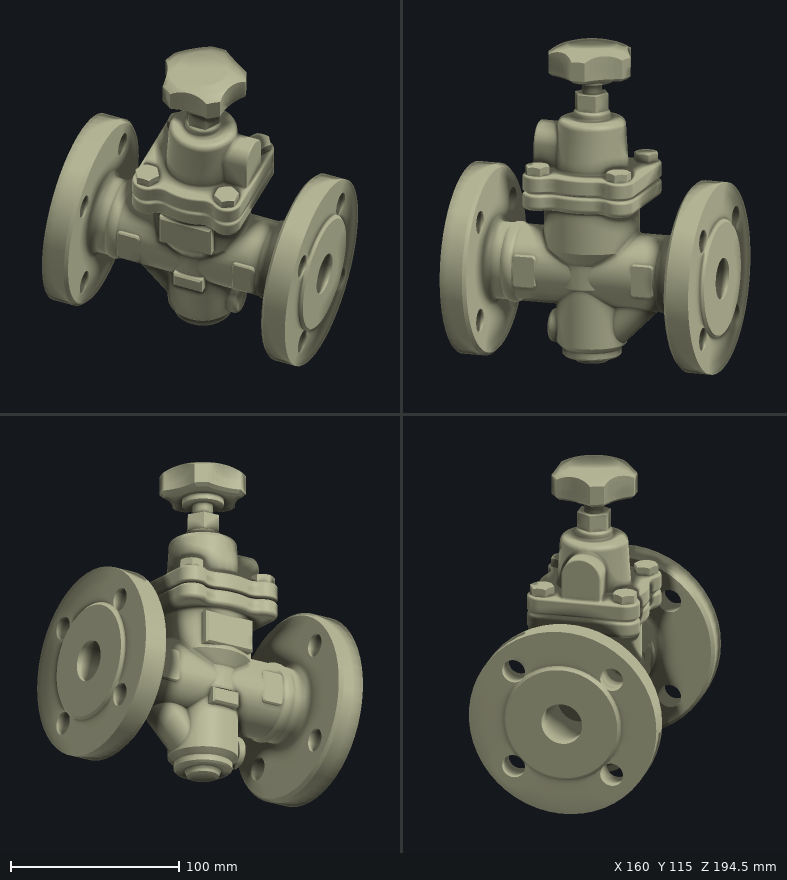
import cadquery as cq
import math

FACE_TO_FACE = 160.0
STEM_X = 2.0

FLANGE_DIA = 115.0
FLANGE_THICK = 16.0
FLANGE_CHAMFER = 2.0
RAISED_HEIGHT = 2.0
RAISED_FACE_DIA = 68.0
RAISED_BASE_DIA = 72.0
BOLT_CIRCLE = 85.0
BOLT_HOLE_DIA = 14.0
BORE_DIA = 25.0
BORE_DEPTH = 40.0

PIPE_DIA = 46.0
HUB_FILLET = 4.0
BEAD_HEIGHT = 1.2
BEAD_X = 48.4
BEAD_WIDTH = 7.2

PIPE_PAD_X = 37.0
PIPE_PAD_WIDTH = 14.5
PIPE_PAD_HEIGHT = 20.0
PIPE_PAD_CORNER = 2.5
PIPE_PAD_EDGE = 0.8

NECK_DIA = 57.0
NECK_BOTTOM_Z = 15.0
WAIST_DIA = 47.2
WAIST_TOP_Z = 6.5
WAIST_BOTTOM_Z = -8.0
LOWER_DIA = 42.0
LOWER_TOP_Z = -9.3
LOWER_BOTTOM_Z = -45.0
LOWER_CHAMFER = 3.5
BODY_FILLET = 2.0
BARREL_FILLET = 1.0
NECK_FILLET = 1.5

PLUG_DIA = 35.0
PLUG_BOTTOM_Z = -53.3
PLUG_CHAMFER = 1.2
PLUG_TIP_TOP_DIA = 22.0
PLUG_TIP_DIA = 19.2
PLUG_TIP_EDGE = (10.0, -55.0)
PLUG_TIP_Z = -56.5

NAME_PAD_WIDTH = 33.2
NAME_PAD_TOP_Z = 37.0
NAME_PAD_BOTTOM_Z = 17.0
NAME_PAD_Y = 29.1
NAME_PAD_EDGE = 1.2
LOWER_PAD_WIDTH = 18.5
LOWER_PAD_TOP_Z = -8.8
LOWER_PAD_BOTTOM_Z = -18.2
LOWER_PAD_Y = 25.3
LOWER_PAD_EDGE = 1.2

PASSAGE_RADIUS = 12.0
PASSAGE_START = (-33.3, -12.8)
PASSAGE_LENGTH = 36.0
PASSAGE_SLOPE = 45.0
DRAIN_DIA = 20.0
DRAIN_Z = -37.0
DRAIN_END_X = 27.2
DRAIN_FILLET = 2.5

COVER_BOLT_CIRCLE = 72.0
COVER_CORNER_RADIUS = 9.0
COVER_BULGE_RADIUS = 33.0
COVER_BLEND_RADIUS = 10.0
LOWER_PLATE_BOTTOM_Z = 40.5
LOWER_PLATE_TOP_Z = 50.7
UPPER_PLATE_BOTTOM_Z = 51.7
UPPER_PLATE_TOP_Z = 61.7
UPPER_PLATE_TOP_FILLET = 1.5
UPPER_PLATE_BOTTOM_FILLET = 1.2
LOWER_PLATE_TOP_FILLET = 2.0
LOWER_PLATE_BOTTOM_FILLET = 3.0
GASKET_DIA = 58.0

BOLT_FLATS = 13.0
BOLT_HEAD_HEIGHT = 5.3
BOLT_HEAD_CHAMFER_RISE = 0.5

BONNET_BASE_DIA = 44.2
BONNET_TOP_DIA = 40.2
BONNET_TOP_Z = 92.2
BONNET_TOP_FILLET = 4.0
BONNET_BASE_FILLET = 1.6
PORT_RADIUS = 12.0
PORT_Z = 76.0
PORT_END_X = 34.7
PORT_EDGE_FILLET = 1.0
PORT_BLEND_FILLET = 1.5

COLLAR_DIA = 22.0
COLLAR_BASE_FILLET = 1.6
COLLAR_TOP_Z = 97.4
COLLAR_TOP_FILLET = 2.0
NUT_FLATS = 18.2
NUT_TOP_Z = 107.5
STEM_DIA = 12.0
KNOB_HUB_DIA = 25.0
KNOB_HUB_BOTTOM_Z = 115.0

KNOB_LOBES = 5
KNOB_RADIUS = 26.0
KNOB_LOBE_HALF_ANGLE = 9.3
KNOB_VALLEY_RADIUS = 21.2
KNOB_BOTTOM_Z = 118.6
KNOB_CHAMFER = 1.9
KNOB_SHOULDER_Z = 131.9
KNOB_DOME_MID = (21.0, 135.0)
KNOB_TOP_RADIUS = 15.0
KNOB_TOP_Z = 137.0


ARC_MID = 1 - math.cos(math.radians(45))
HEX_HALF_ANGLE = 30


def stem_plane(z):
    """Horizontal workplane at height z, centred on the stem axis."""
    return cq.Workplane("XY", origin=(STEM_X, 0, z))


def disc(diameter, bottom_z, top_z):
    """Cylinder on the stem axis."""
    return stem_plane(bottom_z).circle(diameter / 2).extrude(top_z - bottom_z)


def stem_profile():
    """Workplane for a half profile (radius, z) that is revolved about the stem axis."""
    return cq.Workplane("XZ", origin=(STEM_X, 0, 0))


def spin_about_stem(profile):
    return profile.close().revolve(360, (0, 0, 0), (0, 1, 0))


def polar(radius, degrees):
    angle = math.radians(degrees)
    return (radius * math.cos(angle), radius * math.sin(angle))


def hexagon(flats, height, turn):
    """Hexagonal prism on Z from the origin; at turn 0 two corners lie on the X axis."""
    corners = flats / math.cos(math.radians(HEX_HALF_ANGLE))
    prism = cq.Workplane("XY").polygon(6, corners).extrude(height)
    return prism.rotate((0, 0, 0), (0, 0, 1), turn)


def make_half_pipe():
    """Half of the pipe run on the -X side, turned about the X axis."""
    end_x = -FACE_TO_FACE / 2
    front_x = end_x + RAISED_HEIGHT
    back_x = front_x + FLANGE_THICK
    flange_r = FLANGE_DIA / 2
    pipe_r = PIPE_DIA / 2
    hub_r = pipe_r + HUB_FILLET
    hub_mid = HUB_FILLET * ARC_MID
    half = (
        cq.Workplane("XY")
        .moveTo(end_x, 0)
        .lineTo(end_x, RAISED_FACE_DIA / 2)
        .lineTo(front_x, RAISED_BASE_DIA / 2)
        .lineTo(front_x, flange_r)
        .lineTo(back_x - FLANGE_CHAMFER, flange_r)
        .lineTo(back_x, flange_r - FLANGE_CHAMFER)
        .lineTo(back_x, hub_r)
        .threePointArc((back_x + hub_mid, pipe_r + hub_mid), (back_x + HUB_FILLET, pipe_r))
        .lineTo(-BEAD_X - BEAD_WIDTH / 2, pipe_r)
        .threePointArc((-BEAD_X, pipe_r + BEAD_HEIGHT), (-BEAD_X + BEAD_WIDTH / 2, pipe_r))
        .lineTo(0, pipe_r)
        .lineTo(0, 0)
        .close()
        .revolve(360, (0, 0, 0), (1, 0, 0))
    )
    return half


def make_pipe():
    half = make_half_pipe()
    return half.union(half.mirror("YZ"))


def make_pipe_pads():
    """Flat rectangular pads level with the front and back of the pipe."""
    pad = (
        cq.Workplane("XY")
        .box(PIPE_PAD_WIDTH, PIPE_DIA, PIPE_PAD_HEIGHT)
        .edges("|Y").fillet(PIPE_PAD_CORNER)
        .faces("<Y or >Y").chamfer(PIPE_PAD_EDGE)
    )
    return pad.translate((-PIPE_PAD_X, 0, 0)).union(pad.translate((PIPE_PAD_X, 0, 0)))


def make_flange_holes():
    spacing = BOLT_CIRCLE / math.sqrt(2)
    return (
        cq.Workplane("YZ", origin=(-FACE_TO_FACE / 2, 0, 0))
        .rect(spacing, spacing, forConstruction=True)
        .vertices()
        .circle(BOLT_HOLE_DIA / 2)
        .extrude(RAISED_HEIGHT + FLANGE_THICK)
    )


def make_bore():
    return cq.Workplane("YZ", origin=(-FACE_TO_FACE / 2, 0, 0)).circle(BORE_DIA / 2).extrude(BORE_DEPTH)


def make_body():
    """Neck, cone, waist and lower barrel."""
    lower_r = LOWER_DIA / 2
    profile = (
        stem_profile()
        .moveTo(0, LOWER_PLATE_BOTTOM_Z)
        .lineTo(NECK_DIA / 2, LOWER_PLATE_BOTTOM_Z)
        .lineTo(NECK_DIA / 2, NECK_BOTTOM_Z)
        .lineTo(WAIST_DIA / 2, WAIST_TOP_Z)
        .lineTo(WAIST_DIA / 2, WAIST_BOTTOM_Z)
        .lineTo(lower_r, LOWER_TOP_Z)
        .lineTo(lower_r, LOWER_BOTTOM_Z)
        .lineTo(PLUG_DIA / 2, LOWER_BOTTOM_Z - LOWER_CHAMFER)
        .lineTo(0, LOWER_BOTTOM_Z - LOWER_CHAMFER)
    )
    return spin_about_stem(profile)


def make_core():
    """Pipe and valve body with their seams rounded."""
    core = make_pipe().union(make_body())
    reach = NECK_DIA
    margin = 0.05
    upper_seam = cq.selectors.BoxSelector(
        (-reach, -reach, WAIST_TOP_Z - margin), (reach, reach, PIPE_DIA), boundingbox=True
    )
    core = core.edges("%BSPLINE").edges(upper_seam).fillet(BODY_FILLET)
    lower_seam = cq.selectors.BoxSelector(
        (-reach, -reach, -PIPE_DIA), (reach, reach, LOWER_TOP_Z - margin), boundingbox=True
    )
    core = core.edges("%BSPLINE").edges(lower_seam).fillet(BARREL_FILLET)
    return core


def make_neck_flare():
    """Concave round between the neck and the underside of the lower cover plate."""
    neck_r = NECK_DIA / 2
    plate_z = LOWER_PLATE_BOTTOM_Z
    flare_mid = NECK_FILLET * ARC_MID
    profile = (
        stem_profile()
        .moveTo(0, plate_z)
        .lineTo(neck_r + NECK_FILLET, plate_z)
        .threePointArc((neck_r + flare_mid, plate_z - flare_mid), (neck_r, plate_z - NECK_FILLET))
        .lineTo(0, plate_z - NECK_FILLET)
    )
    return spin_about_stem(profile)


def make_plug():
    plug_r = PLUG_DIA / 2
    profile = (
        stem_profile()
        .moveTo(0, LOWER_BOTTOM_Z)
        .lineTo(plug_r, LOWER_BOTTOM_Z)
        .lineTo(plug_r, PLUG_BOTTOM_Z + PLUG_CHAMFER)
        .lineTo(plug_r - PLUG_CHAMFER, PLUG_BOTTOM_Z)
        .lineTo(PLUG_TIP_TOP_DIA / 2, PLUG_BOTTOM_Z)
        .lineTo(*PLUG_TIP_EDGE)
        .lineTo(PLUG_TIP_DIA / 2, PLUG_TIP_Z)
        .lineTo(0, PLUG_TIP_Z)
    )
    return spin_about_stem(profile)


def make_body_pad(width, bottom_z, top_z, reach, edge):
    """Raised rectangle on the -Y side of the valve body with chamfered edges."""
    block = cq.Workplane("XY").box(width, reach, top_z - bottom_z).faces("<Y").chamfer(edge)
    return block.translate((STEM_X, -reach / 2, (bottom_z + top_z) / 2))


def make_name_pad():
    return make_body_pad(NAME_PAD_WIDTH, NAME_PAD_BOTTOM_Z, NAME_PAD_TOP_Z, NAME_PAD_Y, NAME_PAD_EDGE)


def make_lower_pad():
    return make_body_pad(LOWER_PAD_WIDTH, LOWER_PAD_BOTTOM_Z, LOWER_PAD_TOP_Z, LOWER_PAD_Y, LOWER_PAD_EDGE)


def make_strainer_passage():
    """Round passage sloping down from the pipe into the lower barrel."""
    slope = math.radians(PASSAGE_SLOPE)
    start_x, start_z = PASSAGE_START
    plane = cq.Plane(
        origin=(start_x, 0, start_z), xDir=(0, 1, 0), normal=(math.cos(slope), 0, -math.sin(slope))
    )
    return cq.Workplane(plane).circle(PASSAGE_RADIUS).extrude(PASSAGE_LENGTH)


def make_drain_boss():
    return (
        cq.Workplane("YZ", origin=(STEM_X, 0, DRAIN_Z))
        .circle(DRAIN_DIA / 2)
        .extrude(DRAIN_END_X - STEM_X)
        .faces(">X").edges().fillet(DRAIN_FILLET)
    )


def make_plate_outline(z):
    """Square plate outline: straight +X and -X sides, bulged +Y and -Y sides."""
    corner_distance = COVER_BOLT_CIRCLE / 2
    corner = corner_distance * math.sqrt(0.5)
    half_width = corner + COVER_CORNER_RADIUS

    to_bulge = COVER_BULGE_RADIUS + COVER_BLEND_RADIUS
    to_corner = COVER_CORNER_RADIUS + COVER_BLEND_RADIUS
    cosine = (to_bulge**2 + corner_distance**2 - to_corner**2) / (2 * to_bulge * corner_distance)
    blend_angle = 45 + math.degrees(math.acos(cosine))
    blend_x, blend_y = polar(to_bulge, blend_angle)
    bulge_x, bulge_y = polar(COVER_BULGE_RADIUS, blend_angle)
    share = COVER_CORNER_RADIUS / to_corner
    lobe_x = corner + (blend_x - corner) * share
    lobe_y = corner + (blend_y - corner) * share
    tip = corner + COVER_CORNER_RADIUS * math.sqrt(0.5)
    valley_y = blend_y - COVER_BLEND_RADIUS

    return (
        stem_plane(z)
        .moveTo(half_width, -corner)
        .lineTo(half_width, corner)
        .threePointArc((tip, tip), (lobe_x, lobe_y))
        .threePointArc((blend_x, valley_y), (bulge_x, bulge_y))
        .threePointArc((0, COVER_BULGE_RADIUS), (-bulge_x, bulge_y))
        .threePointArc((-blend_x, valley_y), (-lobe_x, lobe_y))
        .threePointArc((-tip, tip), (-half_width, corner))
        .lineTo(-half_width, -corner)
        .threePointArc((-tip, -tip), (-lobe_x, -lobe_y))
        .threePointArc((-blend_x, -valley_y), (-bulge_x, -bulge_y))
        .threePointArc((0, -COVER_BULGE_RADIUS), (bulge_x, -bulge_y))
        .threePointArc((blend_x, -valley_y), (lobe_x, -lobe_y))
        .threePointArc((tip, -tip), (half_width, -corner))
        .close()
    )


def make_plate(bottom_z, top_z, bottom_fillet, top_fillet):
    plate = make_plate_outline(bottom_z).extrude(top_z - bottom_z)
    return plate.faces(">Z").edges().fillet(top_fillet).faces("<Z").edges().fillet(bottom_fillet)


def make_lower_plate():
    return make_plate(
        LOWER_PLATE_BOTTOM_Z, LOWER_PLATE_TOP_Z, LOWER_PLATE_BOTTOM_FILLET, LOWER_PLATE_TOP_FILLET
    )


def make_bolt_head(turn):
    """Hexagon bolt head standing on the origin, its top corners bevelled."""
    head = hexagon(BOLT_FLATS, BOLT_HEAD_HEIGHT, turn)
    corner_r = BOLT_FLATS / 2 / math.cos(math.radians(HEX_HALF_ANGLE))
    bevelled = (
        cq.Workplane("XY")
        .circle(corner_r)
        .extrude(BOLT_HEAD_HEIGHT)
        .faces(">Z")
        .chamfer(BOLT_HEAD_CHAMFER_RISE, corner_r - BOLT_FLATS / 2)
    )
    return head.intersect(bevelled)


def make_cover_bolts():
    """Four bolt heads; neighbours are turned by 30 degrees."""
    bolts = cq.Workplane("XY")
    for index in range(4):
        x, y = polar(COVER_BOLT_CIRCLE / 2, 45 + 90 * index)
        head = make_bolt_head(HEX_HALF_ANGLE * (index % 2))
        bolts = bolts.union(head.translate((STEM_X + x, y, UPPER_PLATE_TOP_Z)))
    return bolts


def make_port():
    """Round-topped block on the +X side of the bonnet, reaching down to the cover plate."""
    return (
        cq.Workplane("YZ", origin=(STEM_X, 0, 0))
        .moveTo(-PORT_RADIUS, UPPER_PLATE_TOP_Z)
        .lineTo(-PORT_RADIUS, PORT_Z)
        .threePointArc((0, PORT_Z + PORT_RADIUS), (PORT_RADIUS, PORT_Z))
        .lineTo(PORT_RADIUS, UPPER_PLATE_TOP_Z)
        .close()
        .extrude(PORT_END_X - STEM_X)
    )


def make_bonnet():
    """Upper cover plate with the tapered bonnet and its side port."""
    bonnet = (
        stem_plane(UPPER_PLATE_TOP_Z)
        .circle(BONNET_BASE_DIA / 2)
        .workplane(offset=BONNET_TOP_Z - UPPER_PLATE_TOP_Z)
        .circle(BONNET_TOP_DIA / 2)
        .loft()
        .union(make_port())
    )
    base_r = BONNET_BASE_DIA / 2
    margin = 1.0

    seam = cq.selectors.BoxSelector(
        (STEM_X + BONNET_TOP_DIA / 4, -PORT_RADIUS - margin, UPPER_PLATE_TOP_Z + margin),
        (STEM_X + base_r + margin, PORT_RADIUS + margin, BONNET_TOP_Z - margin),
    )
    bonnet = bonnet.edges("not |X").edges("not |Y").edges(seam).fillet(PORT_BLEND_FILLET)

    bonnet = bonnet.faces(">Z").edges().fillet(BONNET_TOP_FILLET)
    bonnet = bonnet.faces(">X").edges("not <Z").fillet(PORT_EDGE_FILLET)

    port_margin = 0.1

    plate = make_plate(
        UPPER_PLATE_BOTTOM_Z, UPPER_PLATE_TOP_Z, UPPER_PLATE_BOTTOM_FILLET, UPPER_PLATE_TOP_FILLET
    )
    bonnet = bonnet.union(plate)
    foot = cq.selectors.BoxSelector(
        (STEM_X - base_r - margin, -base_r - margin, UPPER_PLATE_TOP_Z - margin / 2),
        (PORT_END_X + port_margin, base_r + margin, UPPER_PLATE_TOP_Z + margin / 2),
        boundingbox=True,
    )
    return bonnet.edges(foot).fillet(BONNET_BASE_FILLET)


def make_collar():
    """Round collar that flares out onto the bonnet top."""
    collar_r = COLLAR_DIA / 2
    flare_mid = COLLAR_BASE_FILLET * ARC_MID
    profile = (
        stem_profile()
        .moveTo(0, BONNET_TOP_Z)
        .lineTo(collar_r + COLLAR_BASE_FILLET, BONNET_TOP_Z)
        .threePointArc(
            (collar_r + flare_mid, BONNET_TOP_Z + flare_mid), (collar_r, BONNET_TOP_Z + COLLAR_BASE_FILLET)
        )
        .lineTo(collar_r, COLLAR_TOP_Z)
        .lineTo(0, COLLAR_TOP_Z)
    )
    return spin_about_stem(profile).faces(">Z").edges().fillet(COLLAR_TOP_FILLET)


def make_nut():
    return hexagon(NUT_FLATS, NUT_TOP_Z - COLLAR_TOP_Z, 0).translate((STEM_X, 0, COLLAR_TOP_Z))


def make_knob():
    """Five-lobed prism trimmed by a domed round blank, chamfered underneath."""
    blank = spin_about_stem(
        stem_profile()
        .moveTo(0, KNOB_BOTTOM_Z)
        .lineTo(KNOB_RADIUS, KNOB_BOTTOM_Z)
        .lineTo(KNOB_RADIUS, KNOB_SHOULDER_Z)
        .threePointArc(KNOB_DOME_MID, (KNOB_TOP_RADIUS, KNOB_TOP_Z))
        .lineTo(0, KNOB_TOP_Z)
    )
    pitch = 360 / KNOB_LOBES
    first_lobe = 90
    outline = stem_plane(KNOB_BOTTOM_Z).moveTo(*polar(KNOB_RADIUS, first_lobe - KNOB_LOBE_HALF_ANGLE))
    for lobe in range(KNOB_LOBES):
        middle = first_lobe + pitch * lobe
        outline = outline.lineTo(*polar(KNOB_RADIUS, middle + KNOB_LOBE_HALF_ANGLE))
        outline = outline.threePointArc(
            polar(KNOB_VALLEY_RADIUS, middle + pitch / 2),
            polar(KNOB_RADIUS, middle + pitch - KNOB_LOBE_HALF_ANGLE),
        )
    prism = outline.close().extrude(KNOB_TOP_Z - KNOB_BOTTOM_Z)
    return prism.faces("<Z").chamfer(KNOB_CHAMFER).intersect(blank)


result = (
    make_core()
    .union(make_pipe_pads())
    .union(make_neck_flare())
    .union(make_plug())
    .union(make_name_pad())
    .union(make_lower_pad())
    .union(make_strainer_passage())
    .union(make_drain_boss())
    .union(make_lower_plate())
    .union(disc(GASKET_DIA, LOWER_PLATE_TOP_Z, UPPER_PLATE_BOTTOM_Z))
    .union(make_cover_bolts())
    .union(make_bonnet())
    .union(make_collar())
    .union(make_nut())
    .union(disc(STEM_DIA, NUT_TOP_Z, KNOB_HUB_BOTTOM_Z))
    .union(disc(KNOB_HUB_DIA, KNOB_HUB_BOTTOM_Z, KNOB_BOTTOM_Z))
    .union(make_knob())
)
holes = make_flange_holes().union(make_bore())
result = result.cut(holes).cut(holes.mirror("YZ"))